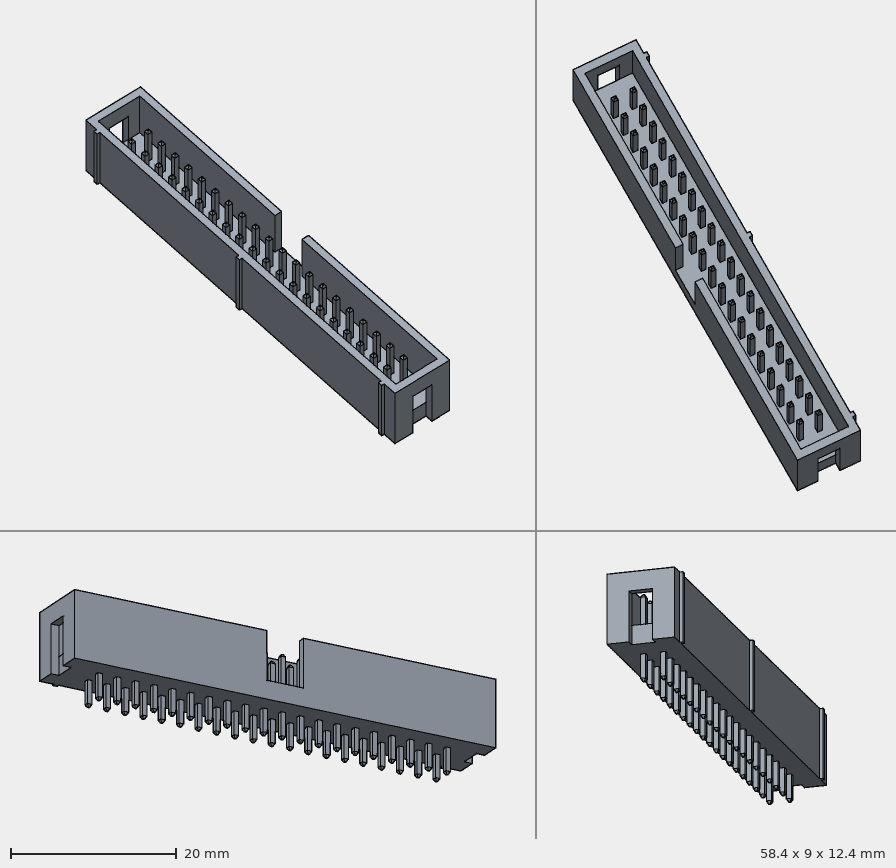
import cadquery as cq

total_height = 12.4
total_depth = 9.0
shroud_length = 58.4
shroud_height = 8.95
rib_projection = 0.4
shroud_depth = total_depth - rib_projection
side_wall = 1.05
end_wall = 1.1
floor_thickness = 2.45

key_width = 5.1
end_slot_width = 3.0
end_slot_height = 6.5

rib_width = 0.65
rib_spacing = 26.85

pin_columns = 20
pin_rows = 2
pin_row_length = 48.25
pin_pitch = pin_row_length / (pin_columns - 1)
pin_size = 0.65
tip_size = 0.25
tip_length = 0.35
pin_bottom = shroud_height - total_height
pin_top = 7.6


def block(length, depth, bottom, top, x=0.0, y=0.0):
    """Box centred on (x, y), spanning bottom to top in Z."""
    return cq.Workplane("XY", origin=(x, y, bottom)).rect(length, depth).extrude(top - bottom)


def make_pin_tip(base_z, direction):
    """Square taper starting at base_z and narrowing along direction (+1 up, -1 down)."""
    return (
        cq.Workplane("XY", origin=(0, 0, base_z))
        .rect(pin_size, pin_size)
        .workplane(offset=direction * tip_length)
        .rect(tip_size, tip_size)
        .loft()
    )


def make_pin():
    """Pin on the Z axis, running through the floor of the shroud."""
    shank_bottom = pin_bottom + tip_length
    shank_top = pin_top - tip_length
    shank = block(pin_size, pin_size, shank_bottom, shank_top)
    return shank.union(make_pin_tip(shank_top, 1)).union(make_pin_tip(shank_bottom, -1))


def make_shroud():
    """Box with its cavity, wall openings and ribs."""
    shroud = block(shroud_length, shroud_depth, 0, shroud_height)
    cavity = block(shroud_length - 2 * end_wall, shroud_depth - 2 * side_wall, floor_thickness, shroud_height)
    shroud = shroud.cut(cavity)

    wall_y = (shroud_depth - side_wall) / 2
    shroud = shroud.cut(block(key_width, side_wall, floor_thickness, shroud_height, y=wall_y))

    wall_x = (shroud_length - end_wall) / 2
    for x in (-wall_x, wall_x):
        shroud = shroud.cut(block(end_wall, end_slot_width, 0, end_slot_height, x=x))

    rib_depth = side_wall + rib_projection
    rib_y = -shroud_depth / 2 - rib_projection + rib_depth / 2
    for x in (-rib_spacing, 0, rib_spacing):
        shroud = shroud.union(block(rib_width, rib_depth, 0, shroud_height, x=x, y=rib_y))
    return shroud


pins = (
    cq.Workplane("XY")
    .rarray(pin_pitch, pin_pitch, pin_columns, pin_rows)
    .eachpoint(make_pin().val(), combine=False)
)

result = make_shroud().union(pins)